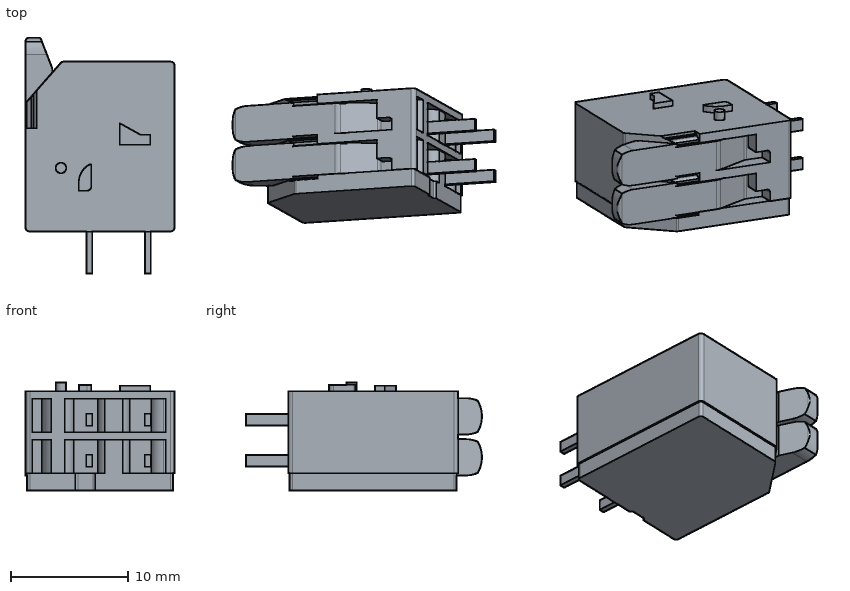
import math
import cadquery as cq


BODY_WIDTH = 12.75
BODY_DEPTH = 14.53
BODY_TOP = 8.5
BASE_HEIGHT = 1.5
BODY_CORNER_RADIUS = 0.35
BASE_INSET = 0.12
BASE_CORNER_RADIUS = 0.25
CHAMFER_WIDTH = 3.12
CHAMFER_START = 10.95

ROW_COUNT = 2
ROW_PITCH = (BODY_TOP - BASE_HEIGHT) / ROW_COUNT

WINDOW_HEIGHT = 2.85
WINDOW_DEPTH = 1.1
SIDE_WINDOW_DEPTH = 1.5
SIDE_WINDOW_LEFT = 0.59
SIDE_WINDOW_RIGHT = 2.2
MAIN_WINDOW_LEFT = 3.35
MAIN_WINDOW_RIGHT = 12.0
PILLAR_FLANK = 0.8
POST_LEFT = 6.8
POST_RIGHT = 8.3
POST_FLANK = 0.6
POST_FRONT = BASE_INSET
END_PILLAR_FRONT = 0.43
END_PILLAR_FLAT = 0.23
END_PILLAR_ROUND = 1.0

PIN_WIDTH = 0.5
PIN_HEIGHT = 1.0
PIN_LENGTH = 3.6
PIN_PITCH = 5.0
FIRST_PIN_X = 5.47
PIN_ROW_OFFSET = 1.06

POCKET_HEIGHT = 2.7
POCKET_START = 3.43
POCKET_FLOOR_X = 1.55
STEP_START = 2.1
STEP_HEIGHT = 1.09
STEP_RADIUS = 0.3
RAMP_START = 3.77
RAMP_END = 7.0
RAMP_BLEND_RADIUS = 1.0
FLOOR_BLEND_RADIUS = 0.6
LEVER_GAP = 0.08
GAP_DEPTH = 0.35

LEVER_TIP = 16.58
LEVER_BOTTOM_DROP = 0.21
LEVER_HEIGHT = 3.13
LEVER_WIDTH = 2.3
LEVER_BEND_Y = 13.96
LEVER_TIP_WIDTH = 1.28
LEVER_TIP_RADIUS = 0.2
LEVER_SIDE_RADIUS = 0.33
CROWN_START = 15.15
CROWN_END = 16.2
CROWN_DROP = 0.22

RELIEF_START = 8.83
RELIEF_WIDTH = 0.95
RELIEF_DEPTH = ROW_PITCH - POCKET_HEIGHT + LEVER_GAP
BASE_RELIEF_DEPTH = 0.3
RELIEF_LEDGE_START = (0.9, -0.08)
RELIEF_LEDGE_MIDDLE = (0.82, -0.14)
RELIEF_LEDGE_END = (0.72, -0.17)
RELIEF_STEP_TOP = (0.68, -0.24)
RELIEF_STEP_EDGE = (0.52, -0.28)
RELIEF_SLOPE_TOP = (0.45, -0.34)
RELIEF_NOSE = (0.12, -0.54)
RELIEF_UNDERCUT_X = 0.22

NOTCH_LEFT = 4.27
NOTCH_RIGHT = 5.97
NOTCH_DEPTH = 0.22
NOTCH_RADIUS = 0.2

BUTTON_X = 3.04
BUTTON_Y = 5.43
BUTTON_DIAMETER = 0.9
BUTTON_HEIGHT = 0.75
BLADE_LEFT = 4.57
BLADE_RIGHT = 5.64
BLADE_FRONT = 3.48
BLADE_BACK = 5.75
BLADE_CORNER_RADIUS = 0.4
BLADE_TIP_RADIUS = 0.12
BLADE_CURVE_START = 4.38
BLADE_CURVE_MIDDLE = (4.86, 5.17)
BLADE_HEIGHT = 0.55
WEDGE_LEFT = 8.08
WEDGE_BEND = 9.84
WEDGE_RIGHT = 10.68
WEDGE_FRONT = 7.41
WEDGE_LOW_BACK = 8.27
WEDGE_HIGH_BACK = 9.24
WEDGE_HEIGHT = 0.47

OVERCUT = 1.0


def row_floor(row):
    return BASE_HEIGHT + row * ROW_PITCH


def body_outline(inset=0):
    corners = [
        (0, 0),
        (BODY_WIDTH, 0),
        (BODY_WIDTH, BODY_DEPTH),
        (CHAMFER_WIDTH, BODY_DEPTH),
        (0, CHAMFER_START),
    ]
    outline = cq.Workplane("XY").polyline(corners).close()
    if inset:
        outline = outline.offset2D(-inset, "intersection")
    return outline


def make_base():
    base = body_outline(BASE_INSET).extrude(BASE_HEIGHT).edges("|Z").fillet(BASE_CORNER_RADIUS)
    notch = (
        cq.Workplane("XY")
        .box(NOTCH_RIGHT - NOTCH_LEFT, NOTCH_DEPTH, BASE_HEIGHT, centered=False)
        .edges("|Z and >Y")
        .fillet(NOTCH_RADIUS)
        .translate((NOTCH_LEFT, BASE_INSET, 0))
    )
    return base.cut(notch).cut(finger_relief(BASE_HEIGHT, BASE_RELIEF_DEPTH))


def make_housing():
    """Housing block with rounded corners; the corner beside the levers stays sharp."""
    return (
        body_outline()
        .extrude(BODY_TOP - BASE_HEIGHT)
        .edges("|Z and (<Y or >X or >Y)")
        .fillet(BODY_CORNER_RADIUS)
        .translate((0, 0, BASE_HEIGHT))
    )


def flank_radius(width, depth):
    """Radius of an arc this wide and deep that ends parallel to Y."""
    return (width**2 + depth**2) / (2 * width)


def side_window(floor):
    """Small window; its right wall is the rounded flank of the first pillar."""
    radius = flank_radius(PILLAR_FLANK, SIDE_WINDOW_DEPTH)
    return (
        cq.Workplane("XY", origin=(0, 0, floor))
        .moveTo(SIDE_WINDOW_LEFT, 0)
        .lineTo(SIDE_WINDOW_RIGHT, 0)
        .radiusArc((SIDE_WINDOW_RIGHT - PILLAR_FLANK, SIDE_WINDOW_DEPTH), radius)
        .lineTo(SIDE_WINDOW_LEFT, SIDE_WINDOW_DEPTH)
        .close()
        .extrude(WINDOW_HEIGHT)
    )


def main_window(floor):
    """Wide window for both pins, divided by a recessed post with rounded corners."""
    pillar_radius = flank_radius(PILLAR_FLANK, WINDOW_DEPTH)
    post_radius = flank_radius(POST_FLANK, WINDOW_DEPTH - POST_FRONT)
    flat_start = MAIN_WINDOW_RIGHT - END_PILLAR_FLAT
    return (
        cq.Workplane("XY", origin=(0, 0, floor))
        .moveTo(MAIN_WINDOW_LEFT, 0)
        .lineTo(MAIN_WINDOW_RIGHT, 0)
        .lineTo(MAIN_WINDOW_RIGHT, END_PILLAR_FRONT)
        .lineTo(flat_start, END_PILLAR_FRONT)
        .tangentArcPoint((flat_start - END_PILLAR_ROUND, WINDOW_DEPTH), relative=False)
        .lineTo(POST_RIGHT + POST_FLANK, WINDOW_DEPTH)
        .radiusArc((POST_RIGHT, POST_FRONT), post_radius)
        .lineTo(POST_LEFT, POST_FRONT)
        .radiusArc((POST_LEFT - POST_FLANK, WINDOW_DEPTH), post_radius)
        .lineTo(MAIN_WINDOW_LEFT + PILLAR_FLANK, WINDOW_DEPTH)
        .radiusArc((MAIN_WINDOW_LEFT, 0), pillar_radius)
        .close()
        .extrude(WINDOW_HEIGHT)
    )


def side_pocket(floor):
    """Stepped side opening whose far wall is the sloped inner end of the lever."""
    opening = (
        cq.Workplane("YZ")
        .moveTo(STEP_START, floor)
        .lineTo(RAMP_END + OVERCUT, floor)
        .lineTo(RAMP_END + OVERCUT, floor + POCKET_HEIGHT)
        .lineTo(POCKET_START, floor + POCKET_HEIGHT)
        .lineTo(POCKET_START, floor + STEP_HEIGHT)
        .lineTo(STEP_START + STEP_RADIUS, floor + STEP_HEIGHT)
        .radiusArc((STEP_START, floor + STEP_HEIGHT - STEP_RADIUS), -STEP_RADIUS)
        .close()
        .extrude(POCKET_FLOOR_X)
    )
    ramp_length = RAMP_END - RAMP_START
    ramp_angle = math.atan2(POCKET_FLOOR_X, ramp_length)
    tangent = RAMP_BLEND_RADIUS * math.tan(ramp_angle / 2)
    blend_point = (tangent * math.sin(ramp_angle), RAMP_END - tangent * math.cos(ramp_angle))
    floor_tangent = FLOOR_BLEND_RADIUS * math.tan(ramp_angle / 2)
    floor_blend_point = (
        POCKET_FLOOR_X - floor_tangent * math.sin(ramp_angle),
        RAMP_START + floor_tangent * math.cos(ramp_angle),
    )
    depth_shape = (
        cq.Workplane("XY", origin=(0, 0, floor))
        .moveTo(0, STEP_START)
        .lineTo(POCKET_FLOOR_X, STEP_START)
        .lineTo(POCKET_FLOOR_X, RAMP_START - floor_tangent)
        .tangentArcPoint(floor_blend_point, relative=False)
        .lineTo(*blend_point)
        .tangentArcPoint((0, RAMP_END + tangent), relative=False)
        .close()
        .extrude(POCKET_HEIGHT)
    )
    return opening.intersect(depth_shape)


def lever_gap(floor):
    """Thin clearance between the lever and the wall above it."""
    length = CHAMFER_START + OVERCUT - POCKET_START
    return cq.Workplane("XY").box(GAP_DEPTH, length, LEVER_GAP, centered=False).translate(
        (0, POCKET_START, floor + POCKET_HEIGHT - LEVER_GAP)
    )


def finger_relief(top, depth):
    """Stepped nose profile, undercut at the bottom, along the lever side below a top level."""
    length = CHAMFER_START + OVERCUT - RELIEF_START
    relief = (
        cq.Workplane("XZ", origin=(0, RELIEF_START + length, top))
        .moveTo(-OVERCUT, 0)
        .lineTo(RELIEF_WIDTH, 0)
        .lineTo(*RELIEF_LEDGE_START)
        .threePointArc(RELIEF_LEDGE_MIDDLE, RELIEF_LEDGE_END)
        .lineTo(*RELIEF_STEP_TOP)
        .lineTo(*RELIEF_STEP_EDGE)
        .lineTo(*RELIEF_SLOPE_TOP)
        .lineTo(*RELIEF_NOSE)
        .lineTo(RELIEF_UNDERCUT_X, -RELIEF_DEPTH)
        .lineTo(-OVERCUT, -RELIEF_DEPTH)
        .close()
        .extrude(length)
    )
    kept = cq.Workplane("XY").box(BODY_WIDTH, BODY_DEPTH, depth, centered=(True, False, False))
    return relief.intersect(kept.translate((0, 0, top - depth)))


def lever_handle(floor):
    """Outer end of a lever, with a crowned tip, growing from the sloped corner."""
    bottom = floor - LEVER_BOTTOM_DROP
    top = bottom + LEVER_HEIGHT
    middle = (bottom + top) / 2
    slope = (BODY_DEPTH - CHAMFER_START) / CHAMFER_WIDTH
    plan = (
        cq.Workplane("XY", origin=(0, 0, bottom))
        .polyline(
            [
                (0, CHAMFER_START),
                (LEVER_WIDTH, CHAMFER_START + slope * LEVER_WIDTH),
                (LEVER_WIDTH, LEVER_BEND_Y),
                (LEVER_TIP_WIDTH, LEVER_TIP),
                (0, LEVER_TIP),
            ]
        )
        .close()
        .extrude(LEVER_HEIGHT)
        .edges(cq.NearestToPointSelector((LEVER_TIP_WIDTH, LEVER_TIP, middle)))
        .fillet(LEVER_TIP_RADIUS)
        .edges(cq.NearestToPointSelector((0, LEVER_TIP, middle)))
        .fillet(LEVER_SIDE_RADIUS)
    )
    side = (
        cq.Workplane("YZ")
        .moveTo(CHAMFER_START, bottom)
        .lineTo(CROWN_START, bottom)
        .tangentArcPoint((CROWN_END, bottom + CROWN_DROP), relative=False)
        .threePointArc((LEVER_TIP, middle), (CROWN_END, top - CROWN_DROP))
        .threePointArc(((CROWN_START + CROWN_END) / 2, top - CROWN_DROP / 4), (CROWN_START, top))
        .lineTo(CHAMFER_START, top)
        .close()
        .extrude(LEVER_WIDTH)
    )
    return plan.intersect(side)


def make_pins(floor):
    centre_z = floor + PIN_ROW_OFFSET
    length = PIN_LENGTH + WINDOW_DEPTH + OVERCUT
    return (
        cq.Workplane("XZ", origin=(0, length - PIN_LENGTH, centre_z))
        .pushPoints([(FIRST_PIN_X, 0), (FIRST_PIN_X + PIN_PITCH, 0)])
        .rect(PIN_WIDTH, PIN_HEIGHT)
        .extrude(length)
    )


def top_plane():
    return cq.Workplane("XY", origin=(0, 0, BODY_TOP))


def make_button():
    return top_plane().center(BUTTON_X, BUTTON_Y).circle(BUTTON_DIAMETER / 2).extrude(BUTTON_HEIGHT)


def make_blade():
    corner = BLADE_CORNER_RADIUS
    tip = BLADE_TIP_RADIUS
    return (
        top_plane()
        .moveTo(BLADE_LEFT, BLADE_FRONT)
        .lineTo(BLADE_RIGHT - corner, BLADE_FRONT)
        .radiusArc((BLADE_RIGHT, BLADE_FRONT + corner), -corner)
        .lineTo(BLADE_RIGHT, BLADE_BACK - tip)
        .radiusArc((BLADE_RIGHT - tip, BLADE_BACK), -tip)
        .threePointArc(BLADE_CURVE_MIDDLE, (BLADE_LEFT, BLADE_CURVE_START))
        .close()
        .extrude(BLADE_HEIGHT)
    )


def make_wedge():
    corners = [
        (WEDGE_LEFT, WEDGE_FRONT),
        (WEDGE_RIGHT, WEDGE_FRONT),
        (WEDGE_RIGHT, WEDGE_LOW_BACK),
        (WEDGE_BEND, WEDGE_LOW_BACK),
        (WEDGE_LEFT, WEDGE_HIGH_BACK),
    ]
    return top_plane().polyline(corners).close().extrude(WEDGE_HEIGHT)


body = make_housing()
for row in range(ROW_COUNT):
    floor = row_floor(row)
    body = body.cut(side_window(floor)).cut(main_window(floor))
    body = body.cut(side_pocket(floor)).cut(lever_gap(floor))
    body = body.cut(finger_relief(floor + ROW_PITCH, RELIEF_DEPTH))

body = body.union(make_base())
for row in range(ROW_COUNT):
    floor = row_floor(row)
    body = body.union(lever_handle(floor)).union(make_pins(floor))

result = body.union(make_button()).union(make_blade()).union(make_wedge())